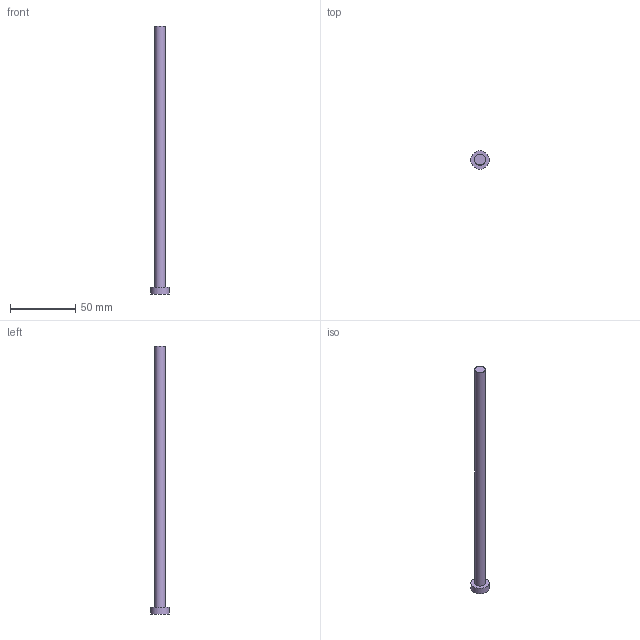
import cadquery as cq

total_length = 205.0
head_diameter = 14.0
head_height = 5.0
shank_diameter = 8.2

shank_length = total_length - head_height


def make_head():
    """Round flat head standing on the XY plane."""
    return cq.Workplane("XY").circle(head_diameter / 2).extrude(head_height)


def add_shank(body):
    """Straight cylindrical shank rising from the centre of the head."""
    return body.faces(">Z").workplane().circle(shank_diameter / 2).extrude(shank_length)


result = add_shank(make_head())